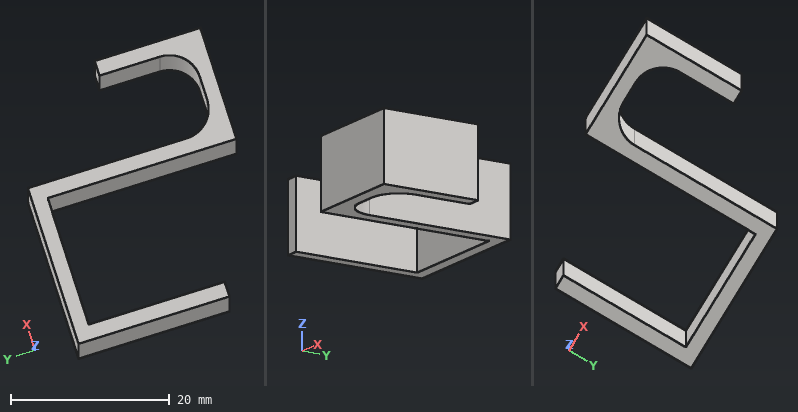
import cadquery as cq

length = 34.0
depth = 27.0
height = 10.0

wall = 2.0
clip_width = 21.0
clip_leg = 20.0
hook_lip = 14.0
hook_radius = 4.0

hook_inner_left = clip_width
hook_inner_right = length - wall

profile = (
    cq.Workplane("XY")
    .moveTo(clip_width - wall, 0)
    .lineTo(length, 0)
    .lineTo(length, hook_lip)
    .lineTo(hook_inner_right, hook_lip)
    .lineTo(hook_inner_right, wall + hook_radius)
    .radiusArc((hook_inner_right - hook_radius, wall), hook_radius)
    .lineTo(hook_inner_left + hook_radius, wall)
    .radiusArc((hook_inner_left, wall + hook_radius), hook_radius)
    .lineTo(clip_width, depth)
    .lineTo(0, depth)
    .lineTo(0, depth - clip_leg)
    .lineTo(wall, depth - clip_leg)
    .lineTo(wall, depth - wall)
    .lineTo(clip_width - wall, depth - wall)
    .close()
)

result = profile.extrude(height)